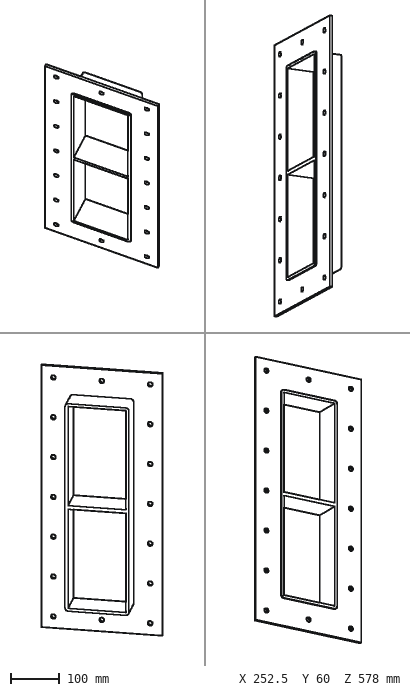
import cadquery as cq

plate_width = 252.5
plate_height = 578.0
plate_thickness = 6.0

sleeve_width = 133.5
sleeve_height = 458.0
sleeve_depth = 60.0
sleeve_wall = 6.5
sleeve_corner_radius = 7.0
front_lip = 3.0
divider_thickness = 8.0

hole_diameter = 10.0
hole_columns = 3
hole_rows = 7
hole_pitch_x = 101.0
hole_pitch_z = 88.0

opening_width = sleeve_width - 2 * sleeve_wall
opening_height = (sleeve_height - 2 * sleeve_wall - divider_thickness) / 2
opening_offset = (opening_height + divider_thickness) / 2


def block(width, depth, height, front_y):
    """Block centred in X and Z, extending toward +Y from front_y."""
    return cq.Workplane("XY").box(width, depth, height).translate((0, front_y + depth / 2, 0))


def bolt_positions():
    """Grid positions on the outer border only."""
    last_column = hole_columns - 1
    last_row = hole_rows - 1
    return [
        ((column - last_column / 2) * hole_pitch_x, (row - last_row / 2) * hole_pitch_z)
        for column in range(hole_columns)
        for row in range(hole_rows)
        if column in (0, last_column) or row in (0, last_row)
    ]


plate = block(plate_width, plate_thickness, plate_height, 0)
bolt_holes = (
    cq.Workplane("XZ")
    .pushPoints(bolt_positions())
    .circle(hole_diameter / 2)
    .extrude(-plate_thickness)
)

sleeve = block(sleeve_width, sleeve_depth, sleeve_height, -front_lip)
sleeve = sleeve.edges("|Y").fillet(sleeve_corner_radius)

result = plate.cut(bolt_holes).union(sleeve)

for side in (-1, 1):
    opening = block(opening_width, sleeve_depth, opening_height, -front_lip)
    result = result.cut(opening.translate((0, 0, side * opening_offset)))